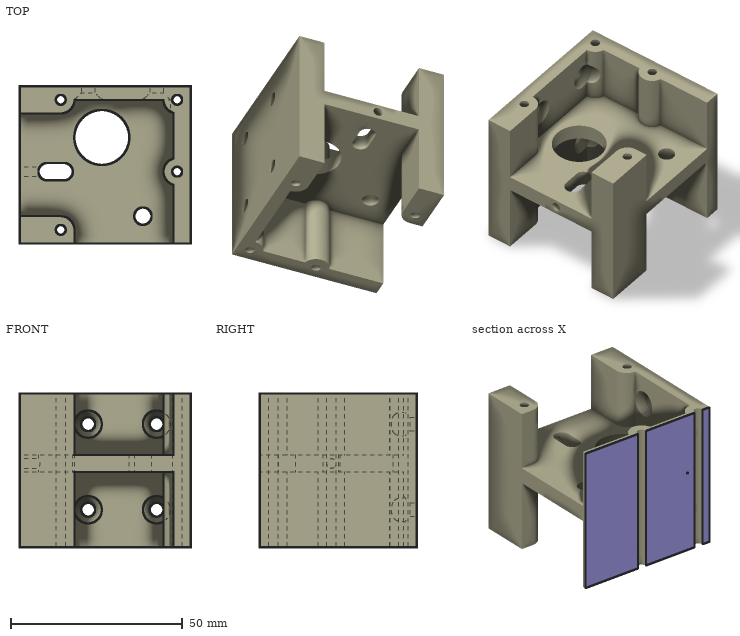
import cadquery as cq

length = 50.0
width = 46.0
height = 45.0

plate_bottom = 22.0
plate_thickness = 5.0
plate_middle = plate_bottom + plate_thickness / 2

back_wall = 4.0
side_wall = 5.0
leg_length = 16.0
leg_width = 8.0
boss_radius = 4.0

screw_diameter = 2.8
leg_screw_x = leg_length - boss_radius
boss_x = length - boss_radius
front_screw_y = leg_width - boss_radius
middle_screw_y = 21.0
back_screw_y = width - back_wall
boss_points = [(boss_x, middle_screw_y), (boss_x, back_screw_y)]
leg_screw_points = [(leg_screw_x, front_screw_y), (leg_screw_x, back_screw_y)]

bore_diameter = 16.0
bore_center = (24.0, 31.0)
pin_diameter = 5.0
pin_center = (36.0, 8.0)
slot_length = 10.0
slot_width = 5.0
slot_center = (10.5, middle_screw_y)

mount_diameter = 4.0
sink_diameter = 8.0
sink_depth = 2.0
head_clearance = 4.0
mount_xs = (20.0, 40.0)
mount_zs = (11.0, 36.0)


def block(x, y, z, size_x, size_y, size_z):
    """Box whose lowest corner is at (x, y, z)."""
    return cq.Workplane("XY").box(size_x, size_y, size_z, centered=False).translate((x, y, z))


def upright_cylinders(points, diameter):
    """Full-height vertical cylinders at the given points."""
    return cq.Workplane("XY").pushPoints(points).circle(diameter / 2).extrude(height)


def leg(y):
    """Full-height leg at the open -X side, starting at the given Y."""
    return block(0, y, 0, leg_length, leg_width, height)


def make_body():
    """Plate carried by two walls, two legs and two screw bosses."""
    front_leg = leg(0).edges("|Z and >X and >Y").fillet(boss_radius)
    back_leg = leg(width - leg_width).edges("|Z and >X and <Y").fillet(boss_radius)
    bosses = upright_cylinders(boss_points, 2 * boss_radius)
    bosses = bosses.intersect(block(0, 0, 0, length, width, height))
    return (
        block(0, 0, plate_bottom, length, width, plate_thickness)
        .union(block(0, width - back_wall, 0, length, back_wall, height))
        .union(block(length - side_wall, 0, 0, side_wall, width, height))
        .union(front_leg)
        .union(back_leg)
        .union(bosses)
    )


def plate_openings():
    """Large bore, pin hole and slot through the plate."""
    bore = upright_cylinders([bore_center], bore_diameter)
    pin = upright_cylinders([pin_center], pin_diameter)
    slot = cq.Workplane("XY").center(*slot_center).slot2D(slot_length, slot_width).extrude(height)
    return bore.union(pin).union(slot)


def mount_hole(x, z):
    """Through hole along Y, countersunk on the inner face, with room for the screw head."""
    inner_y = width - back_wall
    sink_end_y = inner_y + sink_depth
    profile = [
        (0, inner_y - head_clearance),
        (sink_diameter / 2, inner_y - head_clearance),
        (sink_diameter / 2, inner_y),
        (mount_diameter / 2, sink_end_y),
        (mount_diameter / 2, width),
        (0, width),
    ]
    cutter = cq.Workplane("XY").polyline(profile).close().revolve(360, (0, 0), (0, 1))
    return cutter.translate((x, 0, z))


def slot_screw_hole():
    """Screw hole along X from the open edge of the plate into the slot."""
    depth = slot_center[0]
    hole = cq.Workplane("YZ").center(middle_screw_y, plate_middle)
    return hole.circle(screw_diameter / 2).extrude(depth)


result = make_body()
result = result.cut(upright_cylinders(leg_screw_points + boss_points, screw_diameter))
result = result.cut(plate_openings())
result = result.cut(slot_screw_hole())
for mount_x in mount_xs:
    for mount_z in mount_zs:
        result = result.cut(mount_hole(mount_x, mount_z))